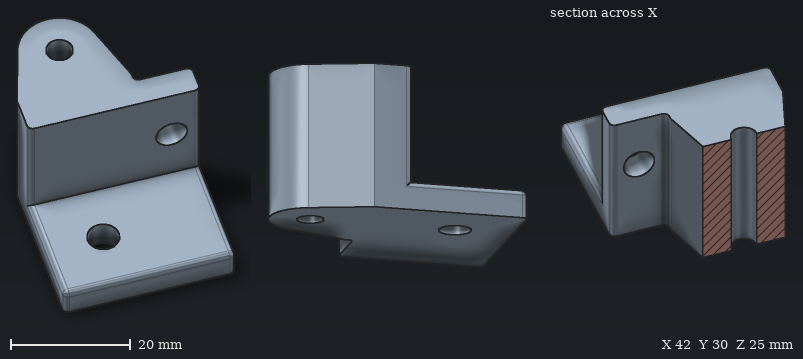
import cadquery as cq
import math

length = 42.0
width = 30.0
height = 25.0

wall_left = 17.0
wall_thickness = 5.0
wall_right = wall_left + wall_thickness
plate_thickness = 5.0
edge_radius = 1.0

lug_width = 20.0
lug_radius = 7.0
lug_x = lug_radius
lug_y = lug_width / 2
taper_end_x = 15.4

lug_hole_diameter = 4.5
mount_hole_diameter = 5.4
plate_hole_x = 32.0
wall_hole_y = (lug_width + width) / 2
wall_hole_z = 15.0

taper_run = taper_end_x - lug_x
taper_rise = lug_width / 2
tangent_angle = math.atan2(taper_rise, taper_run) + math.acos(
    lug_radius / math.hypot(taper_run, taper_rise)
)
tangent_x = lug_x + lug_radius * math.cos(tangent_angle)
tangent_offset = lug_radius * math.sin(tangent_angle)


def make_lug():
    """Full-height lug that widens from its nose to the wall."""
    return (
        cq.Workplane("XY")
        .moveTo(wall_right - edge_radius, 0)
        .lineTo(taper_end_x, 0)
        .lineTo(tangent_x, lug_y - tangent_offset)
        .threePointArc((lug_x - lug_radius, lug_y), (tangent_x, lug_y + tangent_offset))
        .lineTo(taper_end_x, lug_width)
        .lineTo(wall_right - edge_radius, lug_width)
        .close()
        .extrude(height)
    )


def make_bracket():
    """L-shaped wall and plate with rounded edges on the plate side."""
    bracket = (
        cq.Workplane("XZ")
        .moveTo(wall_left, 0)
        .lineTo(length, 0)
        .lineTo(length, plate_thickness)
        .lineTo(wall_right, plate_thickness)
        .lineTo(wall_right, height)
        .lineTo(wall_left, height)
        .close()
        .extrude(-width)
    )
    wall_edges = bracket.faces(cq.selectors.NearestToPointSelector(
        (wall_right, width / 2, (plate_thickness + height) / 2))).edges("|Z")
    plate_edges = bracket.faces(cq.selectors.NearestToPointSelector(
        ((wall_right + length) / 2, width / 2, plate_thickness))).edges("|X or >X")
    plate_corners = bracket.faces(">X").edges("|Z")
    return wall_edges.add(plate_edges).add(plate_corners).fillet(edge_radius)


def make_hole(plane, centre, diameter, depth):
    return cq.Workplane(plane, origin=centre).circle(diameter / 2).extrude(depth)


body = make_bracket().union(make_lug())

for corner_y in (width, lug_width):
    corner = cq.selectors.NearestToPointSelector((wall_left, corner_y, height / 2))
    body = body.edges("|Z").edges(corner).fillet(edge_radius)

lug_hole = make_hole("XY", (lug_x, lug_y, 0), lug_hole_diameter, height)
plate_hole = make_hole("XY", (plate_hole_x, lug_y, 0), mount_hole_diameter, height)
wall_hole = make_hole("YZ", (wall_left, wall_hole_y, wall_hole_z), mount_hole_diameter, wall_thickness)

result = body.cut(lug_hole).cut(plate_hole).cut(wall_hole)